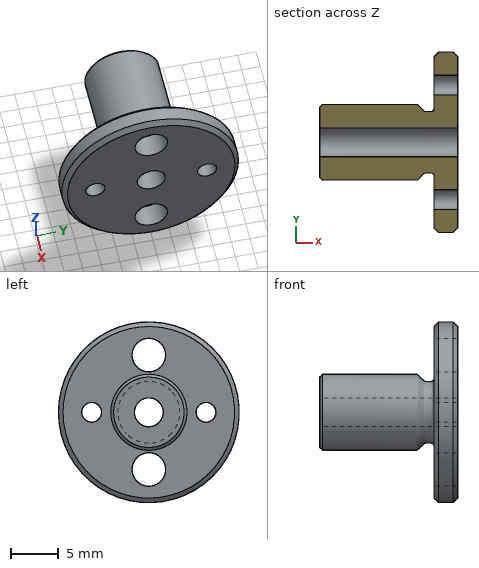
import cadquery as cq
import math

flange_diameter = 19.0
flange_thickness = 2.5
flange_chamfer = 0.5

overall_length = 14.5
shaft_diameter = 8.0
shaft_chamfer = 0.3
bore_diameter = 3.0

neck_diameter = 6.5
neck_length = 0.99
neck_round = 0.3

hole_pitch_radius = 6.0
large_hole_diameter = 3.5
small_hole_diameter = 2.05

shaft_length = overall_length - flange_thickness
shaft_radius = shaft_diameter / 2
neck_radius = neck_diameter / 2
flange_radius = flange_diameter / 2


def make_body():
    """Revolve the stepped profile about X; the flange's front face is at X = 0."""
    cone_length = shaft_radius - neck_radius
    neck_end = -neck_length
    cone_end = neck_end - cone_length

    half_bend = math.radians(45 / 2)
    tangent = neck_round * math.tan(half_bend)
    diagonal = tangent * math.sqrt(0.5)
    arc_mid_run = neck_round * math.sin(half_bend)
    arc_mid_drop = neck_round * (1 - math.cos(half_bend))
    corner_mid = neck_round * (1 - math.sqrt(0.5))

    shaft_round_start = cone_end - tangent
    neck_round_end = neck_end + tangent

    return (
        cq.Workplane("XY")
        .moveTo(-shaft_length, 0)
        .lineTo(-shaft_length, shaft_radius - shaft_chamfer)
        .lineTo(-shaft_length + shaft_chamfer, shaft_radius)
        .lineTo(shaft_round_start, shaft_radius)
        .threePointArc(
            (shaft_round_start + arc_mid_run, shaft_radius - arc_mid_drop),
            (cone_end + diagonal, shaft_radius - diagonal),
        )
        .lineTo(neck_end - diagonal, neck_radius + diagonal)
        .threePointArc(
            (neck_round_end - arc_mid_run, neck_radius + arc_mid_drop),
            (neck_round_end, neck_radius),
        )
        .lineTo(-neck_round, neck_radius)
        .threePointArc(
            (-corner_mid, neck_radius + corner_mid),
            (0, neck_radius + neck_round),
        )
        .lineTo(0, flange_radius - flange_chamfer)
        .lineTo(flange_chamfer, flange_radius)
        .lineTo(flange_thickness - flange_chamfer, flange_radius)
        .lineTo(flange_thickness, flange_radius - flange_chamfer)
        .lineTo(flange_thickness, 0)
        .close()
        .revolve(360, (0, 0, 0), (1, 0, 0))
    )


def hole_cutters(diameter, centres, start_x):
    """Cylinders along X from start_x to the flange's back face, at (Y, Z) centres."""
    return (
        cq.Workplane("YZ", origin=(start_x, 0, 0))
        .pushPoints(centres)
        .circle(diameter / 2)
        .extrude(flange_thickness - start_x)
    )


large_hole_centres = [(0, hole_pitch_radius), (0, -hole_pitch_radius)]
small_hole_centres = [(hole_pitch_radius, 0), (-hole_pitch_radius, 0)]

bore = hole_cutters(bore_diameter, [(0, 0)], -shaft_length)
large_holes = hole_cutters(large_hole_diameter, large_hole_centres, 0)
small_holes = hole_cutters(small_hole_diameter, small_hole_centres, 0)

result = make_body().cut(bore).cut(large_holes).cut(small_holes)